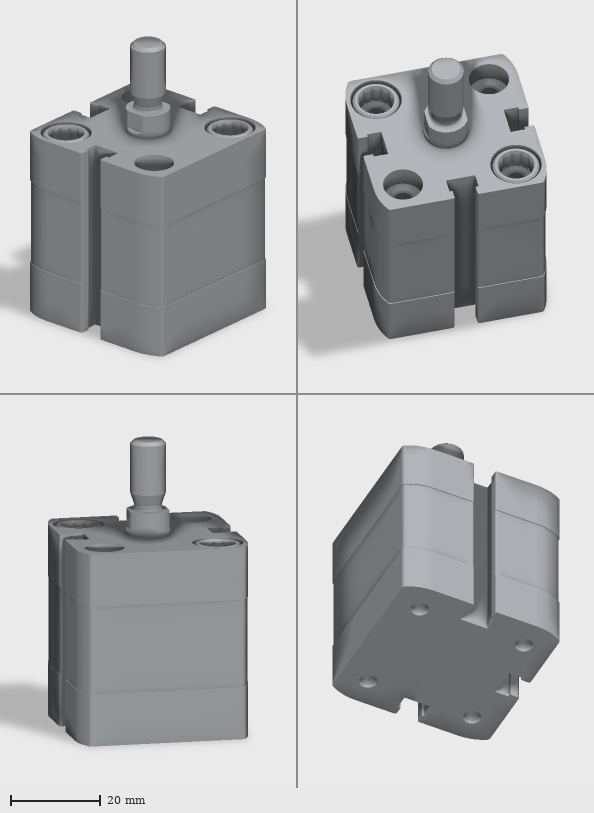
import cadquery as cq
import math

WIDTH = 39.5
HOUSING_HEIGHT = 44.0
CAP_HEIGHT = 12.0
BARREL_INSET = 0.2
CORNER_RADIUS = 12.5
CORNER_EDGE_FILLET = 0.9

SLOT_MOUTH_WIDTH = 5.3
SLOT_INNER_WIDTH = 6.75
SLOT_LIP_DEPTH = 2.3
SLOT_DEPTH = 5.65
SLOT_MOUTH_FILLET = 0.45
SLOT_ANGLES = (90, 180, 270)

HOLE_OFFSET = 13.05
BORE_DIAMETER = 4.1
BORE_CHAMFER_DIAMETER = 5.0
COUNTERBORE_DIAMETER = 9.0
COUNTERBORE_DEPTH = 4.8

CORNER_CENTER_X = HOLE_OFFSET

COLLAR_POCKET_DIAMETER = 11.5
COLLAR_DIAMETER = 10.5
COLLAR_RECESS = 0.1
COLLAR_CHAMFER = 0.45
SOCKET_POINTS = 12
SOCKET_ROOT_DIAMETER = 8.0
SOCKET_TOOTH_DIAMETER = 7.5
SOCKET_TOOTH_WIDTH = 0.65
SOCKET_LEAD_IN_DIAMETER = 8.3
SOCKET_LEAD_IN_DEPTH = 1.0
SOCKET_LEDGE_HEIGHT = 0.25

OVERALL_HEIGHT = 65.5
ROD_DIAMETER = 10.0
ROD_SHOULDER_Z = 49.5
ROD_FLATS_WIDTH = 9.0
ROD_FLATS_Z = 45.4
NECK_DIAMETER = 6.2
NECK_BASE_DIAMETER = 7.5
NECK_TOP_Z = 50.9
NECK_STEP_HEIGHT = 0.2
NECK_STEP_DIAMETER = 6.4
THREAD_DIAMETER = 8.0
THREAD_START_Z = 53.4
THREAD_CHAMFER = 0.8


def block_section(z, height, inset):
    """Rounded block with its sides moved inwards by inset and its mouth edges filleted."""
    half = WIDTH / 2 - inset
    radius = CORNER_RADIUS - inset
    center_y = WIDTH / 2 - CORNER_RADIUS
    end_angle = math.acos((half - CORNER_CENTER_X) / radius)
    middle_angle = (end_angle + math.pi / 2) / 2

    def arc_point(angle, sign_x, sign_y):
        x = CORNER_CENTER_X + radius * math.cos(angle)
        y = center_y + radius * math.sin(angle)
        return (sign_x * x, sign_y * y)

    def side_end(sign_x, sign_y):
        return arc_point(end_angle, sign_x, sign_y)

    def arc_middle(sign_x, sign_y):
        return arc_point(middle_angle, sign_x, sign_y)

    block = (
        cq.Workplane("XY", origin=(0, 0, z))
        .moveTo(-CORNER_CENTER_X, -half)
        .lineTo(CORNER_CENTER_X, -half)
        .threePointArc(arc_middle(1, -1), side_end(1, -1))
        .lineTo(*side_end(1, 1))
        .threePointArc(arc_middle(1, 1), (CORNER_CENTER_X, half))
        .lineTo(-CORNER_CENTER_X, half)
        .threePointArc(arc_middle(-1, 1), side_end(-1, 1))
        .lineTo(*side_end(-1, -1))
        .threePointArc(arc_middle(-1, -1), (-CORNER_CENTER_X, -half))
        .close()
        .extrude(height)
    )
    corner_x, corner_y = side_end(1, 1)
    corner_margin = 0.05
    corner_box = cq.selectors.BoxSelector
    for sign_x in (-1, 1):
        for sign_y in (-1, 1):
            x = sign_x * corner_x
            y = sign_y * corner_y
            near_corner = corner_box(
                (x - corner_margin, y - corner_margin, z),
                (x + corner_margin, y + corner_margin, z + height),
            )
            block = block.edges(near_corner).fillet(CORNER_EDGE_FILLET)
    return block.cut(slot_cutters(z, height, half))


def slot_cutters(z, height, half):
    """T-slots with rounded mouths for a block section whose sides lie at the distance half."""
    mouth = SLOT_MOUTH_WIDTH / 2
    inner = SLOT_INNER_WIDTH / 2
    lip = WIDTH / 2 - SLOT_LIP_DEPTH
    floor = WIDTH / 2 - SLOT_DEPTH
    fillet = SLOT_MOUTH_FILLET
    fillet_sag = fillet * (1 - math.sqrt(0.5))
    slot = (
        cq.Workplane("XY", origin=(0, 0, z))
        .moveTo(floor, -inner)
        .lineTo(lip, -inner)
        .lineTo(lip, -mouth)
        .lineTo(half - fillet, -mouth)
        .threePointArc((half - fillet_sag, -mouth - fillet_sag), (half, -mouth - fillet))
        .lineTo(half, mouth + fillet)
        .threePointArc((half - fillet_sag, mouth + fillet_sag), (half - fillet, mouth))
        .lineTo(lip, mouth)
        .lineTo(lip, inner)
        .lineTo(floor, inner)
        .close()
        .extrude(height)
    )
    cutters = cq.Workplane("XY")
    for angle in SLOT_ANGLES:
        cutters = cutters.add(slot.rotate((0, 0, 0), (0, 0, 1), angle))
    return cutters.combine()


def stepped_bore(counterbore_diameter):
    """Through bore with a chamfered edge in the floor of its counterbore, on the Z axis."""
    bore = BORE_DIAMETER / 2
    chamfer = BORE_CHAMFER_DIAMETER / 2
    counterbore = counterbore_diameter / 2
    floor = HOUSING_HEIGHT - COUNTERBORE_DEPTH
    return (
        cq.Workplane("XZ")
        .polyline([
            (0, 0),
            (bore, 0),
            (bore, floor - (chamfer - bore)),
            (chamfer, floor),
            (counterbore, floor),
            (counterbore, HOUSING_HEIGHT),
            (0, HOUSING_HEIGHT),
        ])
        .close()
        .revolve(360, (0, 0, 0), (0, 1, 0))
    )


def socket_grooves(height):
    """Prism with twelve V-shaped points; the teeth left between them have flat ends."""
    root = SOCKET_ROOT_DIAMETER / 2
    tooth = SOCKET_TOOTH_DIAMETER / 2
    pitch = 2 * math.pi / SOCKET_POINTS
    half_tooth_angle = math.asin(SOCKET_TOOTH_WIDTH / 2 / tooth)
    outline = []
    for index in range(SOCKET_POINTS):
        tooth_angle = (index + 0.5) * pitch
        for radius, angle in (
            (tooth, tooth_angle - half_tooth_angle),
            (tooth, tooth_angle + half_tooth_angle),
            (root, tooth_angle + pitch / 2),
        ):
            outline.append((radius * math.cos(angle), radius * math.sin(angle)))
    return cq.Workplane("XY").polyline(outline).close().extrude(height)


def socket_collar():
    """Chamfered collar with a twelve-point socket and a conical lead-in, on the Z axis."""
    height = COUNTERBORE_DEPTH - COLLAR_RECESS
    collar = cq.Workplane("XY").circle(COLLAR_DIAMETER / 2).extrude(height)
    collar = collar.faces(">Z").edges().chamfer(COLLAR_CHAMFER)
    lead_in = (
        cq.Workplane("XZ")
        .polyline([
            (0, height - SOCKET_LEAD_IN_DEPTH),
            (SOCKET_TOOTH_DIAMETER / 2, height - SOCKET_LEAD_IN_DEPTH),
            (SOCKET_LEAD_IN_DIAMETER / 2, height),
            (0, height),
        ])
        .close()
        .revolve(360, (0, 0, 0), (0, 1, 0))
    )
    grooves = socket_grooves(height).translate((0, 0, SOCKET_LEDGE_HEIGHT))
    socket_bore = cq.Workplane("XY").circle(SOCKET_TOOTH_DIAMETER / 2).extrude(height)
    collar = collar.cut(grooves).cut(socket_bore).cut(lead_in)
    return collar.translate((0, 0, HOUSING_HEIGHT - COUNTERBORE_DEPTH))


def make_housing():
    barrel_height = HOUSING_HEIGHT - 2 * CAP_HEIGHT
    lower_cap = block_section(0, CAP_HEIGHT, 0)
    barrel = block_section(CAP_HEIGHT, barrel_height, BARREL_INSET)
    upper_cap = block_section(HOUSING_HEIGHT - CAP_HEIGHT, CAP_HEIGHT, 0)
    housing = lower_cap.union(barrel).union(upper_cap)
    for side in (-1, 1):
        plain_place = (side * HOLE_OFFSET, -side * HOLE_OFFSET, 0)
        collar_place = (side * HOLE_OFFSET, side * HOLE_OFFSET, 0)
        housing = housing.cut(stepped_bore(COUNTERBORE_DIAMETER).translate(plain_place))
        housing = housing.cut(stepped_bore(COLLAR_POCKET_DIAMETER).translate(collar_place))
        housing = housing.union(socket_collar().translate(collar_place))
    return housing


def make_piston_rod():
    """Rod with wrench flats, an undercut neck and a plain thread cylinder, standing on the housing."""
    rod = ROD_DIAMETER / 2
    neck = NECK_DIAMETER / 2
    neck_base = NECK_BASE_DIAMETER / 2
    thread = THREAD_DIAMETER / 2
    fillet = neck_base - neck
    fillet_sag = fillet * (1 - math.sqrt(0.5))
    turned = (
        cq.Workplane("XZ")
        .moveTo(0, HOUSING_HEIGHT)
        .lineTo(rod, HOUSING_HEIGHT)
        .lineTo(rod, ROD_SHOULDER_Z)
        .lineTo(neck_base, ROD_SHOULDER_Z)
        .threePointArc(
            (neck + fillet_sag, ROD_SHOULDER_Z + fillet_sag),
            (neck, ROD_SHOULDER_Z + fillet),
        )
        .lineTo(neck, NECK_TOP_Z)
        .lineTo(NECK_STEP_DIAMETER / 2, NECK_TOP_Z + NECK_STEP_HEIGHT)
        .lineTo(thread, THREAD_START_Z)
        .lineTo(thread, OVERALL_HEIGHT - THREAD_CHAMFER)
        .lineTo(thread - THREAD_CHAMFER, OVERALL_HEIGHT)
        .lineTo(0, OVERALL_HEIGHT)
        .close()
        .revolve(360, (0, 0, 0), (0, 1, 0))
    )
    return turned.cut(flat_cutter(1)).cut(flat_cutter(-1))


def flat_cutter(side):
    """Cutter for one wrench flat, with a 45 degree run-out at its lower end."""
    flat = ROD_FLATS_WIDTH / 2
    outside = ROD_DIAMETER / 2
    return (
        cq.Workplane("YZ", origin=(-outside, 0, 0))
        .polyline([
            (side * flat, ROD_FLATS_Z),
            (side * outside, ROD_FLATS_Z - (outside - flat)),
            (side * outside, ROD_SHOULDER_Z),
            (side * flat, ROD_SHOULDER_Z),
        ])
        .close()
        .extrude(ROD_DIAMETER)
    )


housing = make_housing()
piston_rod = make_piston_rod()
result = cq.Compound.makeCompound([housing.val(), piston_rod.val()])